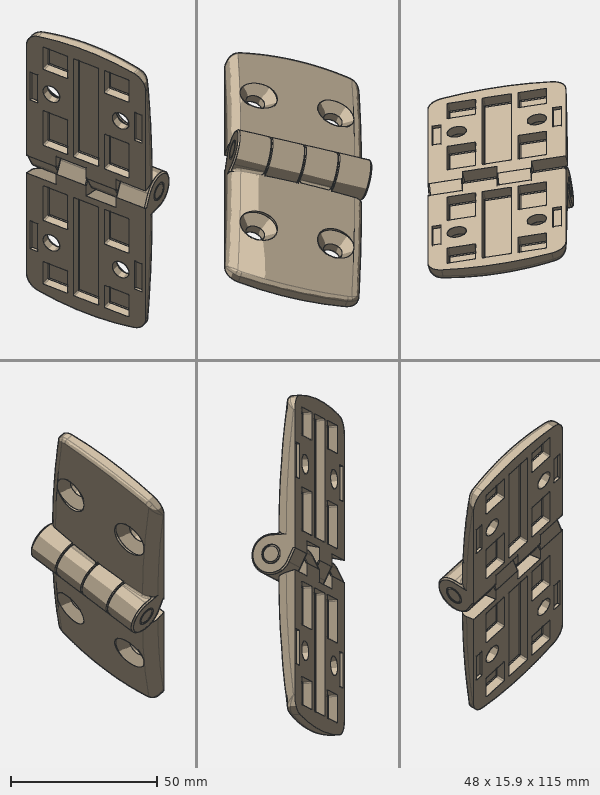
import cadquery as cq
import math

WIDTH = 48.0
LENGTH = 115.0
DEPTH = 15.9
HALF_WIDTH = WIDTH / 2
HALF_LENGTH = LENGTH / 2

BARREL_RADIUS = 7.1
AXIS_Y = DEPTH - BARREL_RADIUS
PIN_RADIUS = 3.3
PIN_CHAMFER = 0.6
KNUCKLE_COUNT = 4
KNUCKLE_WIDTH = WIDTH / KNUCKLE_COUNT
KNUCKLE_END_CHAMFER = 0.6
KNUCKLE_INNER_CHAMFER = 0.3
KNUCKLE_FRONT_Z = 1.6
NECK_FILLET = 0.7

NOTCH_FRONT_Z = 6.1
NOTCH_BACK_Z = 8.0

PLATE_THICKNESS = 7.9
CREST_Z = NOTCH_BACK_Z
LENGTH_CROWN_RADIUS = 333.5
WIDTH_CROWN_RADIUS = 230.0
CROWN_START_ANGLE = -3.0
CROWN_SWEEP_ANGLE = 12.0
SIDE_FILLET = 3.9
END_ARC_RADIUS = 100.0
CORNER_RADIUS = 6.0
END_FILLET = 1.4

HOLE_X = 13.9
HOLE_Z = 32.5
HOLE_RADIUS = 3.3
COUNTERSINK_START_Y = 3.0
COUNTERSINK_RADIUS = 6.7
COUNTERSINK_END_Y = COUNTERSINK_START_Y + COUNTERSINK_RADIUS - HOLE_RADIUS

POCKET_DEPTH = 3.6
POCKET_FLOOR_CHAMFER = 0.3
POCKET_CORNER_RADIUS = 0.5
POCKET_TOP_Z = 51.9
POCKET_BOTTOM_Z = 8.9
CENTER_POCKET_WIDTH = 10.1
SIDE_POCKET_X = 12.3
SIDE_POCKET_WIDTH = 9.9
OUTER_POCKET_LENGTH = 9.8
INNER_POCKET_LENGTH = 15.2

SLOT_X = 20.9
SLOT_WIDTH = 3.0
SLOT_LENGTH = 12.2
SLOT_DEPTH = 1.0


def cylinder_along_x(radius, length):
    """Cylinder on the hinge axis, centred on x = 0."""
    return cq.Workplane("YZ").center(AXIS_Y, 0).circle(radius).extrude(length / 2, both=True)


def make_crowned_bar():
    """Bar with rounded sides whose back is curved both across X and along Z."""
    skirt_y = -PLATE_THICKNESS
    shoulder_y = PLATE_THICKNESS - (
        WIDTH_CROWN_RADIUS - math.sqrt(WIDTH_CROWN_RADIUS**2 - HALF_WIDTH**2)
    )
    turning_y = PLATE_THICKNESS - LENGTH_CROWN_RADIUS
    bar = (
        cq.Workplane("XY", origin=(0, 0, CREST_Z))
        .moveTo(-HALF_WIDTH, skirt_y)
        .lineTo(HALF_WIDTH, skirt_y)
        .lineTo(HALF_WIDTH, shoulder_y)
        .threePointArc((0, PLATE_THICKNESS), (-HALF_WIDTH, shoulder_y))
        .close()
        .revolve(CROWN_SWEEP_ANGLE, (0, turning_y, 0), (1, turning_y, 0))
        .rotate((0, turning_y, CREST_Z), (1, turning_y, CREST_Z), CROWN_START_ANGLE)
    )
    side_edges = cq.selectors.BoxSelector(
        (-WIDTH, 0, CREST_Z), (WIDTH, PLATE_THICKNESS, HALF_LENGTH)
    )
    return bar.edges(side_edges).edges("not #X").fillet(SIDE_FILLET)


def make_outline_prism():
    """Plan outline of the plate: straight sides, bowed end, rounded corners."""
    corner_z = HALF_LENGTH - (
        END_ARC_RADIUS - math.sqrt(END_ARC_RADIUS**2 - HALF_WIDTH**2)
    )
    return (
        cq.Workplane("XZ")
        .moveTo(-HALF_WIDTH, KNUCKLE_FRONT_Z)
        .lineTo(HALF_WIDTH, KNUCKLE_FRONT_Z)
        .lineTo(HALF_WIDTH, corner_z)
        .threePointArc((0, HALF_LENGTH), (-HALF_WIDTH, corner_z))
        .close()
        .extrude(-DEPTH)
        .edges("|Y")
        .edges(">Z")
        .fillet(CORNER_RADIUS)
    )


def knuckle_left_sides():
    """Left X of each knuckle of the upper leaf; the lower leaf fills the places between."""
    return [-HALF_WIDTH + place * KNUCKLE_WIDTH for place in range(0, KNUCKLE_COUNT, 2)]


def make_knuckle(left_x):
    """Barrel with a flat top and a sloping front that is tangent to the barrel."""
    reach = math.hypot(AXIS_Y, KNUCKLE_FRONT_Z)
    tangent_angle = (
        math.pi
        - math.atan2(KNUCKLE_FRONT_Z, AXIS_Y)
        + math.acos(BARREL_RADIUS / reach)
    )
    tangent_y = AXIS_Y + BARREL_RADIUS * math.cos(tangent_angle)
    tangent_z = BARREL_RADIUS * math.sin(tangent_angle)
    is_outermost = left_x == -HALF_WIDTH
    left_chamfer = KNUCKLE_END_CHAMFER if is_outermost else KNUCKLE_INNER_CHAMFER
    return (
        cq.Workplane("YZ", origin=(left_x, 0, 0))
        .moveTo(0, BARREL_RADIUS)
        .lineTo(0, KNUCKLE_FRONT_Z)
        .lineTo(tangent_y, tangent_z)
        .threePointArc((DEPTH, 0), (AXIS_Y, BARREL_RADIUS))
        .close()
        .extrude(KNUCKLE_WIDTH)
        .edges("%CIRCLE")
        .edges("<X")
        .chamfer(left_chamfer)
        .edges("%CIRCLE")
        .edges(">X")
        .chamfer(KNUCKLE_INNER_CHAMFER)
    )


def make_notch(left_x):
    """Clearance through the plate for one knuckle of the other leaf."""
    return (
        cq.Workplane("YZ", origin=(left_x, 0, 0))
        .moveTo(0, -NOTCH_BACK_Z)
        .lineTo(0, NOTCH_FRONT_Z)
        .lineTo(PLATE_THICKNESS, NOTCH_BACK_Z)
        .lineTo(DEPTH, NOTCH_BACK_Z)
        .lineTo(DEPTH, -NOTCH_BACK_Z)
        .close()
        .extrude(KNUCKLE_WIDTH)
    )


def make_plate():
    """Crowned plate trimmed to its notched outline, with the bowed end rounded at the back."""
    outline = make_outline_prism()
    for left_x in knuckle_left_sides():
        outline = outline.cut(make_notch(left_x + KNUCKLE_WIDTH))
    plate = make_crowned_bar().intersect(outline)
    end_edge = cq.selectors.BoxSelector(
        (-WIDTH, END_FILLET, HALF_LENGTH - CORNER_RADIUS / 2),
        (WIDTH, PLATE_THICKNESS, LENGTH),
    )
    return plate.edges(end_edge).edges("not |Y").fillet(END_FILLET)


def make_pocket(center_x, bottom_z, width, length):
    """Pocket cutter open at the front face, with rounded corners and a chamfered floor edge."""
    return (
        cq.Workplane("XZ")
        .center(center_x, bottom_z + length / 2)
        .rect(width, length)
        .extrude(-POCKET_DEPTH)
        .edges("|Y")
        .fillet(POCKET_CORNER_RADIUS)
        .faces(">Y")
        .edges()
        .chamfer(POCKET_FLOOR_CHAMFER)
    )


def make_screw_hole(center_x):
    """Through hole with a countersink and a straight recess up to the crowned back."""
    return (
        cq.Workplane("XY")
        .lineTo(HOLE_RADIUS, 0)
        .lineTo(HOLE_RADIUS, COUNTERSINK_START_Y)
        .lineTo(COUNTERSINK_RADIUS, COUNTERSINK_END_Y)
        .lineTo(COUNTERSINK_RADIUS, PLATE_THICKNESS)
        .lineTo(0, PLATE_THICKNESS)
        .close()
        .revolve(360, (0, 0, 0), (0, 1, 0))
        .translate((center_x, 0, HOLE_Z))
    )


def make_slot(center_x):
    """Shallow slot cutter in the front face, level with the screw holes."""
    return (
        cq.Workplane("XZ")
        .center(center_x, HOLE_Z)
        .rect(SLOT_WIDTH, SLOT_LENGTH)
        .extrude(-SLOT_DEPTH)
    )


def round_neck(leaf):
    """Fillet where the flat tops of the knuckles meet the crowned back of the plate."""
    tolerance = 0.01
    neck_edges = cq.selectors.BoxSelector(
        (-HALF_WIDTH, NOTCH_FRONT_Z / 2, BARREL_RADIUS - tolerance),
        (HALF_WIDTH, (PLATE_THICKNESS + AXIS_Y) / 2, BARREL_RADIUS + tolerance),
    )
    return leaf.edges(neck_edges).edges("not |Y").edges("not |X").fillet(NECK_FILLET)


def make_upper_leaf():
    """Plate with its knuckles, pin bore, pockets, screw holes and slots."""
    leaf = make_plate()
    for left_x in knuckle_left_sides():
        leaf = leaf.union(make_knuckle(left_x))
    leaf = round_neck(leaf)
    leaf = leaf.cut(cylinder_along_x(PIN_RADIUS, WIDTH))

    pocket_span = POCKET_TOP_Z - POCKET_BOTTOM_Z
    leaf = leaf.cut(make_pocket(0, POCKET_BOTTOM_Z, CENTER_POCKET_WIDTH, pocket_span))
    for side in (-1, 1):
        pocket_x = side * SIDE_POCKET_X
        outer_z = POCKET_TOP_Z - OUTER_POCKET_LENGTH
        leaf = leaf.cut(make_pocket(pocket_x, outer_z, SIDE_POCKET_WIDTH, OUTER_POCKET_LENGTH))
        leaf = leaf.cut(
            make_pocket(pocket_x, POCKET_BOTTOM_Z, SIDE_POCKET_WIDTH, INNER_POCKET_LENGTH)
        )
        leaf = leaf.cut(make_screw_hole(side * HOLE_X))
        leaf = leaf.cut(make_slot(side * SLOT_X))
    return leaf


def make_pin():
    """Hinge pin as long as the hinge is wide, chamfered at both ends."""
    return cylinder_along_x(PIN_RADIUS, WIDTH).faces("<X or >X").chamfer(PIN_CHAMFER)


upper_leaf = make_upper_leaf()

lower_leaf = make_upper_leaf().rotate((0, 0, 0), (0, 1, 0), 180)

pin = make_pin()

result = cq.Compound.makeCompound([upper_leaf.val(), lower_leaf.val(), pin.val()])